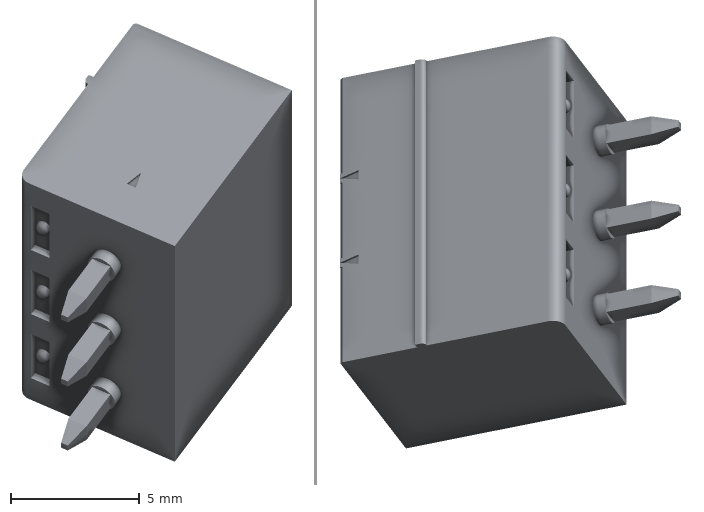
import cadquery as cq
import math

WIDTH = 7.25
LENGTH = 12.6
HEIGHT = 12.82

BODY_DEPTH = 9.2
RIB_HEIGHT = 0.22
CORNER_RADIUS = 0.51
BACK_CHAMFER_X = 0.09
BACK_CHAMFER_Y = 0.1
RIB_FROM_BACK = 3.22
RIB_FLAT = 0.2
RIB_ROUND = 0.2
RIB_RADIUS = 0.22
RIB_ROOT = 0.13

PITCH = 3.81
PIN_X = 4.25
COLLAR_DIAMETER = 1.2
COLLAR_LENGTH = 0.5
PIN_SIDE = 0.81
TIP_SIDE = 0.3
TIP_LENGTH = 1.03

SLOT_X = 1.24
SLOT_WIDTH = 0.82
SLOT_HEIGHT = 2.62
SLOT_DEPTH = 0.31
DOME_RADIUS = 0.31

ARROW_LENGTH = 0.77
ARROW_WIDTH = 0.41
ARROW_DEPTH = 0.1
TOP_ARROW_FROM_BACK = 6.58

BODY_LEFT = RIB_HEIGHT
BODY_FRONT = LENGTH - BODY_DEPTH
MID_Z = HEIGHT / 2
CONTACT_LEVELS = [MID_Z + step * PITCH for step in (-1, 0, 1)]
SIDE_ARROW_LEVELS = [MID_Z + half * PITCH for half in (-0.5, 0.5)]


def box(x, y, z, dx, dy, dz):
    """Box with its lowest corner at (x, y, z)."""
    return cq.Workplane("XY").box(dx, dy, dz, centered=False).translate((x, y, z))


def make_housing():
    """Block with a rounded front corner and a narrow chamfer on the back edge of the ribbed side."""
    block = box(BODY_LEFT, BODY_FRONT, 0, WIDTH - BODY_LEFT, BODY_DEPTH, HEIGHT)
    block = block.edges("|Z and <X and <Y").fillet(CORNER_RADIUS)
    chamfer = (
        cq.Workplane("XY")
        .moveTo(BODY_LEFT, LENGTH)
        .lineTo(BODY_LEFT + BACK_CHAMFER_X, LENGTH)
        .lineTo(BODY_LEFT, LENGTH - BACK_CHAMFER_Y)
        .close()
        .extrude(HEIGHT)
    )
    for z in SIDE_ARROW_LEVELS:
        arrow_bottom = z - ARROW_WIDTH / 2
        chamfer = chamfer.cut(box(BODY_LEFT, BODY_FRONT, arrow_bottom, WIDTH, BODY_DEPTH, ARROW_WIDTH))
    return block.cut(chamfer)


def make_rib():
    """Full-height rib: square towards the back, rounded towards the pins with a small step at its foot."""
    back = LENGTH - RIB_FROM_BACK
    round_start = back - RIB_FLAT
    foot = round_start - RIB_ROUND
    foot_x = RIB_RADIUS - math.sqrt(RIB_RADIUS**2 - RIB_ROUND**2)
    half_angle = math.asin(RIB_ROUND / RIB_RADIUS) / 2
    round_middle = (
        RIB_RADIUS * (1 - math.cos(half_angle)),
        round_start - RIB_RADIUS * math.sin(half_angle),
    )
    return (
        cq.Workplane("XY")
        .moveTo(BODY_LEFT + RIB_ROOT, back)
        .lineTo(0, back)
        .lineTo(0, round_start)
        .threePointArc(round_middle, (foot_x, foot))
        .lineTo(BODY_LEFT + RIB_ROOT, foot)
        .close()
        .extrude(HEIGHT)
    )


def make_pin(z):
    """Round collar, square shank and tapered tip pointing to -Y."""
    face = cq.Workplane("XZ", origin=(PIN_X, BODY_FRONT, z))
    shank_length = BODY_FRONT - TIP_LENGTH
    collar = face.circle(COLLAR_DIAMETER / 2).extrude(COLLAR_LENGTH)
    shank = face.rect(PIN_SIDE, PIN_SIDE).extrude(shank_length)
    tip = (
        face.workplane(offset=shank_length)
        .rect(PIN_SIDE, PIN_SIDE)
        .workplane(offset=TIP_LENGTH)
        .rect(TIP_SIDE, TIP_SIDE)
        .loft(ruled=True)
    )
    return collar.union(shank).union(tip)


def make_slot(z):
    """Rectangular pocket with a half dome left standing on its floor."""
    floor_y = BODY_FRONT + SLOT_DEPTH
    slot_left = SLOT_X - SLOT_WIDTH / 2
    slot_bottom = z - SLOT_HEIGHT / 2
    pocket = box(slot_left, BODY_FRONT, slot_bottom, SLOT_WIDTH, SLOT_DEPTH, SLOT_HEIGHT)
    dome = cq.Workplane("XY").sphere(DOME_RADIUS).translate((SLOT_X, floor_y, z))
    return pocket.cut(dome)


def make_arrow(plane):
    """Triangular prism sunk below the plane, its tip at the origin and its base along local -Y."""
    return (
        plane.moveTo(0, 0)
        .lineTo(ARROW_WIDTH / 2, -ARROW_LENGTH)
        .lineTo(-ARROW_WIDTH / 2, -ARROW_LENGTH)
        .close()
        .extrude(-ARROW_DEPTH)
    )


result = make_housing().union(make_rib())

for level in CONTACT_LEVELS:
    result = result.cut(make_slot(level)).union(make_pin(level))

top_arrow_plane = cq.Workplane("XY", origin=(PIN_X, LENGTH - TOP_ARROW_FROM_BACK, HEIGHT))
result = result.cut(make_arrow(top_arrow_plane))

for level in SIDE_ARROW_LEVELS:
    side_plane = cq.Plane(origin=(BODY_LEFT, LENGTH, level), xDir=(0, 0, 1), normal=(-1, 0, 0))
    result = result.cut(make_arrow(cq.Workplane(side_plane)))